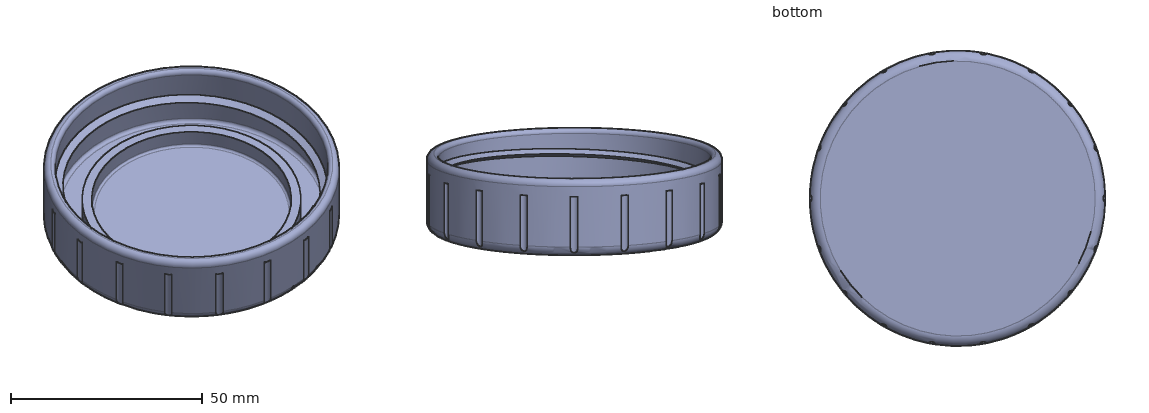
import cadquery as cq

outer_radius = 38.5
height = 20.5
bore_radius = 35.5
floor_thickness = 3.0
bottom_fillet = 2.7
rim_outer_fillet = 1.8
rim_inner_fillet = outer_radius - bore_radius - rim_outer_fillet
floor_fillet = 1.0

ring_outer_radius = 28.5
ring_inner_diameter = 52.0
ring_top = 7.8
ring_fillet = 0.6

thread_pitch = 6.0
thread_start = 9.4
thread_depth = 2.0
thread_base = 2.0
thread_overlap = 0.15

groove_count = 18
groove_radius = 1.15
groove_depth = 0.55
groove_top = 15.95


def make_body():
    """Revolve the cup's half section, with its rounded rim and corners, about Z."""
    rim_crest_radius = outer_radius - rim_outer_fillet
    return (
        cq.Workplane("XZ")
        .lineTo(outer_radius - bottom_fillet, 0)
        .radiusArc((outer_radius, bottom_fillet), -bottom_fillet)
        .lineTo(outer_radius, height - rim_outer_fillet)
        .radiusArc((rim_crest_radius, height), -rim_outer_fillet)
        .radiusArc((bore_radius, height - rim_inner_fillet), -rim_inner_fillet)
        .lineTo(bore_radius, floor_thickness + floor_fillet)
        .radiusArc((bore_radius - floor_fillet, floor_thickness), floor_fillet)
        .lineTo(0, floor_thickness)
        .close()
        .revolve(360, (0, 0), (0, 1))
    )


def make_ring():
    """Raised ring with a fillet where its inner wall meets the floor."""
    ring_height = ring_top - floor_thickness
    ring = cq.Workplane("XY").circle(ring_outer_radius).extrude(ring_height)
    ring = ring.translate((0, 0, floor_thickness))
    recess = (
        cq.Workplane("XY", origin=(0, 0, floor_thickness))
        .circle(ring_inner_diameter / 2)
        .extrude(ring_height)
        .faces("<Z")
        .edges()
        .fillet(ring_fillet)
    )
    return ring.cut(recess)


def make_thread():
    """Sweep the triangular section through one right-handed turn from the +X side.

    The root runs slightly into the wall, along the same flanks, to fuse with it.
    """
    root_radius = bore_radius + thread_overlap
    half_root = thread_base / 2 * (thread_depth + thread_overlap) / thread_depth
    helix = cq.Wire.makeHelix(thread_pitch, thread_pitch, bore_radius, cq.Vector(0, 0, thread_start))
    return (
        cq.Workplane("XZ")
        .moveTo(bore_radius - thread_depth, thread_start)
        .lineTo(root_radius, thread_start + half_root)
        .lineTo(root_radius, thread_start - half_root)
        .close()
        .sweep(cq.Workplane(helix), isFrenet=True)
    )


def make_grooves():
    """Upright round cutters that bite into the outer wall, open at the bottom corner."""
    return (
        cq.Workplane("XY")
        .polarArray(outer_radius - groove_depth + groove_radius, 0, 360, groove_count)
        .circle(groove_radius)
        .extrude(groove_top)
    )


result = make_body().union(make_ring()).union(make_thread()).cut(make_grooves())